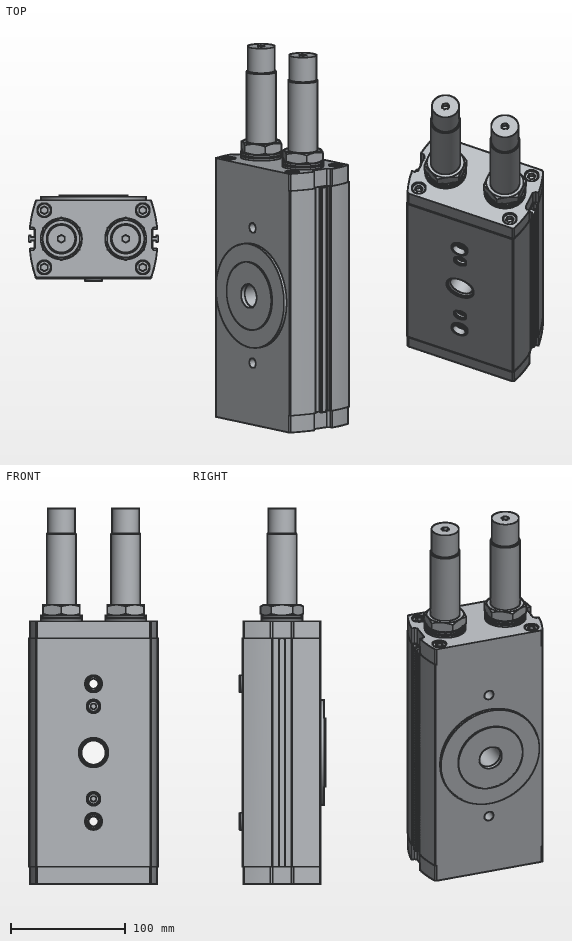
import cadquery as cq
import math

TOTAL_HEIGHT = 327.2
CAP_HEIGHT = 15.0
BODY_HEIGHT = 199.0
BODY_TOP = CAP_HEIGHT + BODY_HEIGHT
HOUSING_TOP = BODY_TOP + CAP_HEIGHT
BODY_MID = CAP_HEIGHT + BODY_HEIGHT / 2

BACK_Y = 33.7
CAP_FRONT_Y = -BACK_Y
BODY_FRONT_Y = -34.7
SIDE_HALF_WIDTH = 56.0
EDGE_HALF_WIDTH = 50.5
CAP_FLAT_HALF_WIDTH = 48.8
BODY_FLAT_HALF_WIDTH = 49.5
CORNER_DEPTH = 1.0

NOTCH_FLOOR = 50.7
NOTCH_FLOOR_WIDTH = 16.0
NOTCH_MOUTH_WIDTH = 20.3

GROOVE_FLOOR = 51.7
GROOVE_WIDTH = 16.5
RAIL_HALF_WIDTH = 113.0 / 2
RAIL_STEM_WIDTH = 3.3
RAIL_HEAD_WIDTH = 6.0
RAIL_HEAD_DEPTH = 2.0
SIDE_EDGE_CHAMFER = 0.5

SCREW_SPACING_X = 85.7
SCREW_SPACING_Y = 49.7
SCREW_MOUTH_DIAMETER = 12.5
SCREW_RECESS_DIAMETER = 11.0
SCREW_RECESS_DEPTH = 1.0

SOCKET_WIDTH = 6.0
SOCKET_DEPTH = 4.0

BORE_DIAMETER = 21.0
BORE_RECESS_DIAMETER = 25.0
BORE_RECESS_DEPTH = 1.5
BORE_MOUTH_DIAMETER = 26.0
BORE_STEP_DIAMETER = 24.0

SLEEVE_OFFSET = 60.0
SLEEVE_DIAMETER = 15.0
SLEEVE_HEIGHT = 2.3
SLEEVE_CHAMFER = 0.5
SLEEVE_BORE_DIAMETER = 12.0
SLEEVE_BORE_DEPTH = 6.5
MOUNTING_HOLE_DIAMETER = 8.5

BLIND_OFFSET = 40.2
BLIND_MOUTH_DIAMETER = 12.0
BLIND_RECESS_DIAMETER = 11.0
BLIND_RECESS_DEPTH = 1.3
BLIND_HOLE_DIAMETER = 9.0
BLIND_HOLE_DEPTH = 4.0
PILOT_DIAMETER = 5.0
PILOT_DEPTH = 6.5

TABLE_DIAMETER = 91.5
TABLE_HEIGHT = 3.0
TABLE_STEP_DIAMETER = 60.0
TABLE_STEP_HEIGHT = 1.3

ABSORBER_SPACING = 56.0
SEAL_DIAMETER = 36.0
SEAL_HEIGHT = 5.0
SEAL_GROOVE = 0.5
NUT_WIDTH = 32.5
NUT_HEIGHT = 9.0
NUT_CHAMFER_ANGLE = 30
BARREL_DIAMETER = 26.0
BARREL_TOP = 305.5
TIP_DIAMETER = 24.0
BARREL_CHAMFER = (BARREL_DIAMETER - TIP_DIAMETER) / 2

HEX_ANGLE = 30


def hexagon_prism(width, x, y, bottom_z, height):
    """Upright hexagon prism, sized across flats, with corners toward +Y and -Y."""
    corner_diameter = width / math.cos(math.radians(HEX_ANGLE))
    return (
        cq.Workplane("XY")
        .polygon(6, corner_diameter)
        .extrude(height)
        .rotate((0, 0, 0), (0, 0, 1), HEX_ANGLE)
        .translate((x, y, bottom_z))
    )


def front_cylinder(diameter, start_y, length, z):
    """Cylinder along +Y on the middle line."""
    return cq.Workplane("XZ", origin=(0, start_y, z)).circle(diameter / 2).extrude(-length)


def front_cone(mouth_diameter, diameter, start_y, z):
    """45-degree countersink along +Y on the middle line."""
    depth = (mouth_diameter - diameter) / 2
    cone = cq.Solid.makeCone(
        mouth_diameter / 2, diameter / 2, depth, cq.Vector(0, start_y, z), cq.Vector(0, 1, 0)
    )
    return cq.Workplane(cone)


def bulged_prism(front_y, flat_half_width, bottom_z, height):
    """Prism with bulged sides and chamfered corners."""
    front_corner = front_y + CORNER_DEPTH
    back_corner = BACK_Y - CORNER_DEPTH
    return (
        cq.Workplane("XY", origin=(0, 0, bottom_z))
        .moveTo(-flat_half_width, front_y)
        .lineTo(flat_half_width, front_y)
        .lineTo(EDGE_HALF_WIDTH, front_corner)
        .threePointArc((SIDE_HALF_WIDTH, 0), (EDGE_HALF_WIDTH, back_corner))
        .lineTo(flat_half_width, BACK_Y)
        .lineTo(-flat_half_width, BACK_Y)
        .lineTo(-EDGE_HALF_WIDTH, back_corner)
        .threePointArc((-SIDE_HALF_WIDTH, 0), (-EDGE_HALF_WIDTH, front_corner))
        .close()
        .extrude(height)
    )


def side_groove(floor_x, floor_width, flare_x, mouth_width, bottom_z, height):
    """Cutter for a +X side groove whose walls open from floor to mouth width at flare_x."""
    return (
        cq.Workplane("XY", origin=(0, 0, bottom_z))
        .moveTo(floor_x, -floor_width / 2)
        .lineTo(flare_x, -mouth_width / 2)
        .lineTo(RAIL_HALF_WIDTH, -mouth_width / 2)
        .lineTo(RAIL_HALF_WIDTH, mouth_width / 2)
        .lineTo(flare_x, mouth_width / 2)
        .lineTo(floor_x, floor_width / 2)
        .close()
        .extrude(height)
    )


def cap(bottom_z):
    """End cap with a flared notch in each side."""
    flare_x = NOTCH_FLOOR + (NOTCH_MOUTH_WIDTH - NOTCH_FLOOR_WIDTH) / 2
    notch = side_groove(
        NOTCH_FLOOR, NOTCH_FLOOR_WIDTH, flare_x, NOTCH_MOUTH_WIDTH, bottom_z, CAP_HEIGHT
    )
    plate = bulged_prism(CAP_FRONT_Y, CAP_FLAT_HALF_WIDTH, bottom_z, CAP_HEIGHT)
    return plate.cut(notch).cut(notch.mirror("YZ"))


def side_bar(inner_x, outer_x, width):
    """Bar along the whole body on its +X side, centred on Y."""
    return (
        cq.Workplane("XY", origin=((inner_x + outer_x) / 2, 0, CAP_HEIGHT))
        .rect(outer_x - inner_x, width)
        .extrude(BODY_HEIGHT)
    )


def body():
    """Middle section with a T-rail standing in a groove on each side."""
    profile = bulged_prism(BODY_FRONT_Y, BODY_FLAT_HALF_WIDTH, CAP_HEIGHT, BODY_HEIGHT)
    groove = side_bar(GROOVE_FLOOR, RAIL_HALF_WIDTH, GROOVE_WIDTH)
    edge_x = SIDE_HALF_WIDTH - SIDE_EDGE_CHAMFER
    mouth_width = GROOVE_WIDTH + 2 * SIDE_EDGE_CHAMFER
    edges = side_groove(
        edge_x - SIDE_EDGE_CHAMFER, GROOVE_WIDTH, edge_x, mouth_width, CAP_HEIGHT, BODY_HEIGHT
    )
    groove = groove.union(edges)
    stem = side_bar(GROOVE_FLOOR, RAIL_HALF_WIDTH, RAIL_STEM_WIDTH)
    head = side_bar(RAIL_HALF_WIDTH - RAIL_HEAD_DEPTH, RAIL_HALF_WIDTH, RAIL_HEAD_WIDTH)
    head = head.edges("|Z and >X").chamfer(SIDE_EDGE_CHAMFER)
    rail = stem.union(head)
    profile = profile.cut(groove).cut(groove.mirror("YZ"))
    return profile.union(rail).union(rail.mirror("YZ"))


def screw_recess(x, y):
    """Cutter for one sunk cap screw: round recess, chamfered mouth, hexagon socket."""
    floor_z = HOUSING_TOP - SCREW_RECESS_DEPTH
    mouth_depth = (SCREW_MOUTH_DIAMETER - SCREW_RECESS_DIAMETER) / 2
    recess = (
        cq.Workplane("XY", origin=(x, y, floor_z))
        .circle(SCREW_RECESS_DIAMETER / 2)
        .extrude(SCREW_RECESS_DEPTH)
    )
    mouth = cq.Workplane(cq.Solid.makeCone(
        SCREW_RECESS_DIAMETER / 2, SCREW_MOUTH_DIAMETER / 2, mouth_depth,
        cq.Vector(x, y, HOUSING_TOP - mouth_depth),
    ))
    socket = hexagon_prism(SOCKET_WIDTH, x, y, floor_z - SOCKET_DEPTH, SOCKET_DEPTH)
    return recess.union(mouth).union(socket)


def central_bore():
    """Cutter for the bore through the housing, with its stepped and chamfered mouth."""
    step_y = BODY_FRONT_Y + BORE_RECESS_DEPTH
    return (
        front_cylinder(BORE_DIAMETER, BODY_FRONT_Y, BACK_Y - BODY_FRONT_Y, BODY_MID)
        .union(front_cylinder(BORE_RECESS_DIAMETER, BODY_FRONT_Y, BORE_RECESS_DEPTH, BODY_MID))
        .union(front_cone(BORE_MOUTH_DIAMETER, BORE_RECESS_DIAMETER, BODY_FRONT_Y, BODY_MID))
        .union(front_cone(BORE_STEP_DIAMETER, BORE_DIAMETER, step_y, BODY_MID))
    )


def sleeve(z):
    """Raised ring round a mounting hole."""
    ring = front_cylinder(SLEEVE_DIAMETER, BODY_FRONT_Y - SLEEVE_HEIGHT, SLEEVE_HEIGHT, z)
    return ring.faces("<Y").chamfer(SLEEVE_CHAMFER)


def mounting_hole(z):
    """Cutter for the through hole of a sleeve, with its wider bore."""
    mouth_y = BODY_FRONT_Y - SLEEVE_HEIGHT
    hole = front_cylinder(MOUNTING_HOLE_DIAMETER, mouth_y, BACK_Y - mouth_y, z)
    return hole.union(front_cylinder(SLEEVE_BORE_DIAMETER, mouth_y, SLEEVE_BORE_DEPTH, z))


def blind_hole(z):
    """Cutter for a blind hole narrowing in steps."""
    return (
        front_cylinder(PILOT_DIAMETER, BODY_FRONT_Y, PILOT_DEPTH, z)
        .union(front_cylinder(BLIND_HOLE_DIAMETER, BODY_FRONT_Y, BLIND_HOLE_DEPTH, z))
        .union(front_cylinder(BLIND_RECESS_DIAMETER, BODY_FRONT_Y, BLIND_RECESS_DEPTH, z))
        .union(front_cone(BLIND_MOUTH_DIAMETER, BLIND_RECESS_DIAMETER, BODY_FRONT_Y, z))
    )


def make_housing():
    """Body with both end caps, cap screws, sleeves and front holes."""
    block = body().union(cap(0)).union(cap(BODY_TOP))
    block = block.cut(central_bore())
    for side in (-1, 1):
        sleeve_z = BODY_MID + side * SLEEVE_OFFSET
        block = block.union(sleeve(sleeve_z))
        block = block.cut(mounting_hole(sleeve_z))
        block = block.cut(blind_hole(BODY_MID + side * BLIND_OFFSET))
        for end in (-1, 1):
            block = block.cut(screw_recess(side * SCREW_SPACING_X / 2, end * SCREW_SPACING_Y / 2))
    return block


def make_table():
    """Stepped disc on the back, with the bore and mounting holes passing through."""
    thickness = TABLE_HEIGHT + TABLE_STEP_HEIGHT
    disc = front_cylinder(TABLE_DIAMETER, BACK_Y, TABLE_HEIGHT, BODY_MID)
    disc = disc.union(front_cylinder(TABLE_STEP_DIAMETER, BACK_Y, thickness, BODY_MID))
    disc = disc.cut(front_cylinder(BORE_DIAMETER, BACK_Y, thickness, BODY_MID))
    for side in (-1, 1):
        hole_z = BODY_MID + side * SLEEVE_OFFSET
        disc = disc.cut(front_cylinder(MOUNTING_HOLE_DIAMETER, BACK_Y, thickness, hole_z))
    return disc


def seal():
    """Round seal at the foot of an absorber with a V-groove halfway up."""
    radius = SEAL_DIAMETER / 2
    middle = SEAL_HEIGHT / 2
    return (
        cq.Workplane("XZ")
        .lineTo(radius, 0)
        .lineTo(radius, middle - SEAL_GROOVE)
        .lineTo(radius - SEAL_GROOVE, middle)
        .lineTo(radius, middle + SEAL_GROOVE)
        .lineTo(radius, SEAL_HEIGHT)
        .lineTo(0, SEAL_HEIGHT)
        .close()
        .revolve(360, (0, 0, 0), (0, 1, 0))
    )


def nut():
    """Hexagon nut on the seal with its corners chamfered at both ends."""
    corner_radius = NUT_WIDTH / 2 / math.cos(math.radians(HEX_ANGLE))
    inset = corner_radius - NUT_WIDTH / 2
    drop = inset * math.tan(math.radians(NUT_CHAMFER_ANGLE))
    envelope = (
        cq.Workplane("XY", origin=(0, 0, SEAL_HEIGHT))
        .circle(corner_radius)
        .extrude(NUT_HEIGHT)
        .faces("<Z or >Z")
        .chamfer(drop, inset)
    )
    return hexagon_prism(NUT_WIDTH, 0, 0, SEAL_HEIGHT, NUT_HEIGHT).intersect(envelope)


def make_absorber(x):
    """Shock absorber with seal, nut, barrel and socketed tip, standing on the top cap."""
    length = TOTAL_HEIGHT - HOUSING_TOP
    barrel = cq.Workplane("XY").circle(BARREL_DIAMETER / 2).extrude(BARREL_TOP - HOUSING_TOP)
    barrel = barrel.faces(">Z").chamfer(BARREL_CHAMFER)
    tip = cq.Workplane("XY").circle(TIP_DIAMETER / 2).extrude(length)
    socket = hexagon_prism(SOCKET_WIDTH, 0, 0, length - SOCKET_DEPTH, SOCKET_DEPTH)
    unit = seal().union(nut()).union(barrel).union(tip).cut(socket)
    return unit.translate((x, 0, HOUSING_TOP))


housing = make_housing()
table = make_table()
absorbers = [make_absorber(side * ABSORBER_SPACING / 2) for side in (-1, 1)]

result = cq.Compound.makeCompound(
    [housing.val(), table.val(), *[absorber.val() for absorber in absorbers]]
)